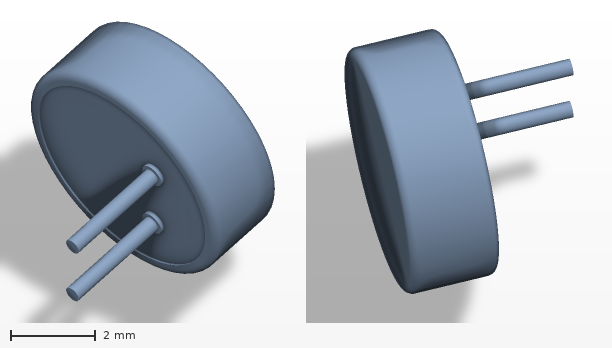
import cadquery as cq

can_diameter = 6.0
can_depth = 2.2
edge_radius = 0.2

recess_diameter = 5.305
recess_depth = 0.05

overall_depth = 5.06
pin_diameter = 0.4
pin_offset_x = 1.0
pin_spacing_z = 1.9
collar_diameter = 0.6
collar_height = 0.055

pin_length = overall_depth - can_depth
pin_centres = [(pin_offset_x, side * pin_spacing_z / 2) for side in (-1, 1)]


def rounded_can():
    """Solid can from Y = 0 (pin side) to Y = can_depth, both rims rounded."""
    can = cq.Workplane("XZ").circle(can_diameter / 2).extrude(-can_depth)
    return can.edges("%CIRCLE").fillet(edge_radius)


def recess():
    """Disc to cut away from the pin-side face."""
    return cq.Workplane("XZ").circle(recess_diameter / 2).extrude(-recess_depth)


def pin_side_cylinders(diameter, height):
    """One cylinder per pin, from the recess floor to the given height beyond Y = 0."""
    floor = cq.Workplane("XZ", origin=(0, recess_depth, 0))
    return floor.pushPoints(pin_centres).circle(diameter / 2).extrude(recess_depth + height)


collars = pin_side_cylinders(collar_diameter, collar_height)
pins = pin_side_cylinders(pin_diameter, pin_length)

result = rounded_can().cut(recess()).union(collars).union(pins)